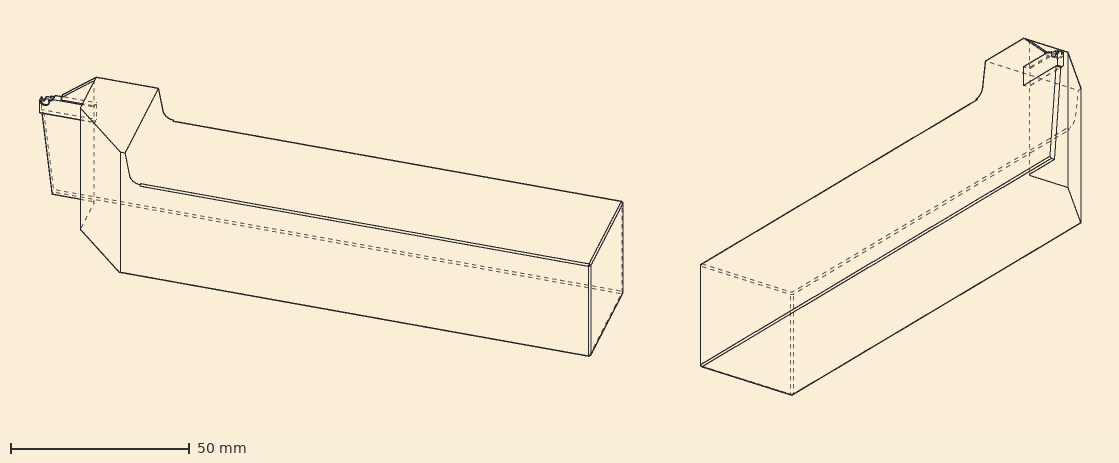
import cadquery as cq
import math

LENGTH = 170.0
WIDTH = 32.1
HEAD_HEIGHT = 42.0
SHANK_HEIGHT = 32.0
EDGE_CHAMFER = 0.5

HEAD_START = 16.0
WALL_WIDTH = 15.3
HEAD_TOP_END = 34.2
REAR_SLOPE = math.radians(10)
REAR_FILLET = 3.0

BLADE_WIDTH = 1.62
BLADE_FILLET = 0.8
BLADE_FRONT = 0.6
BLADE_BOTTOM_FRONT = 3.5
CLAMP_FRONT = 6.1
CLAMP_LIP = 0.7

INSERT_WIDTH = 2.12
INSERT_BOTTOM = 27.4
INSERT_TOP = 33.2
TIP_HEIGHT = 32.0
GROOVE_X = 0.8
GROOVE_DEPTH = 0.3
LAND_HEIGHT = 32.6
LAND_START = 1.5
LAND_END = 3.5
RAMP_LENGTH = 0.5
SCOOP_X = 1.5
SCOOP_RADIUS = 1.4
SCOOP_DEPTH = 0.5
INSERT_CHAMFER = INSERT_WIDTH - BLADE_WIDTH

REAR_FOOT = HEAD_TOP_END + (HEAD_HEIGHT - SHANK_HEIGHT) * math.tan(REAR_SLOPE)
FILLET_TANGENT = REAR_FILLET * math.tan((math.pi / 2 - REAR_SLOPE) / 2)
SHANK_START = REAR_FOOT + FILLET_TANGENT


def make_insert():
    """Narrow bar with a chip groove, two side scoops and a bevelled lower front edge."""
    bar = (
        cq.Workplane("XZ")
        .moveTo(0, INSERT_BOTTOM)
        .lineTo(HEAD_START, INSERT_BOTTOM)
        .lineTo(HEAD_START, INSERT_TOP)
        .lineTo(LAND_END + RAMP_LENGTH, INSERT_TOP)
        .lineTo(LAND_END, LAND_HEIGHT)
        .lineTo(LAND_START, LAND_HEIGHT)
        .threePointArc((GROOVE_X, TIP_HEIGHT - GROOVE_DEPTH), (0, TIP_HEIGHT))
        .close()
        .extrude(INSERT_WIDTH)
    )
    bar = bar.faces("<Y").edges("<Z").chamfer(INSERT_CHAMFER)
    for back in (0, SCOOP_DEPTH - INSERT_WIDTH):
        scoop = (
            cq.Workplane("XZ", origin=(SCOOP_X, back, TIP_HEIGHT))
            .circle(SCOOP_RADIUS)
            .extrude(SCOOP_DEPTH)
        )
        bar = bar.cut(scoop)
    return bar


def make_head():
    """Side profile crossed with the plan outline, from blade to rear fillet."""
    side = (
        cq.Workplane("XZ")
        .moveTo(BLADE_BOTTOM_FRONT, 0)
        .lineTo(SHANK_START, 0)
        .lineTo(SHANK_START, SHANK_HEIGHT)
        .threePointArc(*rear_fillet_points())
        .lineTo(HEAD_TOP_END, HEAD_HEIGHT)
        .lineTo(HEAD_START, HEAD_HEIGHT)
        .lineTo(CLAMP_FRONT, INSERT_TOP + CLAMP_LIP)
        .lineTo(CLAMP_FRONT, INSERT_TOP)
        .lineTo(BLADE_FRONT, INSERT_TOP)
        .lineTo(BLADE_FRONT, INSERT_BOTTOM)
        .close()
        .extrude(WIDTH)
    )
    bevel_end = HEAD_START + WIDTH - WALL_WIDTH
    plan = (
        cq.Workplane("XY")
        .moveTo(0, 0)
        .lineTo(0, -BLADE_WIDTH)
        .lineTo(HEAD_START - BLADE_FILLET, -BLADE_WIDTH)
        .radiusArc((HEAD_START, -BLADE_WIDTH - BLADE_FILLET), BLADE_FILLET)
        .lineTo(HEAD_START, -WALL_WIDTH)
        .lineTo(bevel_end, -WIDTH)
        .lineTo(SHANK_START, -WIDTH)
        .lineTo(SHANK_START, 0)
        .close()
        .extrude(HEAD_HEIGHT)
    )
    head = side.intersect(plan)
    for outer_face in (">Y", "<Y"):
        head = head.faces(outer_face).edges("<Z").chamfer(EDGE_CHAMFER)
    return head


def rear_fillet_points():
    """Middle and end of the arc from the shank top up to the sloping head wall."""
    center_z = SHANK_HEIGHT + REAR_FILLET
    end_angle = math.pi + REAR_SLOPE
    middle_angle = (end_angle + 3 * math.pi / 2) / 2
    return [
        (SHANK_START + REAR_FILLET * math.cos(a), center_z + REAR_FILLET * math.sin(a))
        for a in (middle_angle, end_angle)
    ]


def make_shank():
    """Rectangular bar with bevelled long edges and rear end."""
    return (
        cq.Workplane("XY", origin=(SHANK_START, -WIDTH, 0))
        .box(LENGTH - SHANK_START, WIDTH, SHANK_HEIGHT, centered=False)
        .edges("|X or >X")
        .chamfer(EDGE_CHAMFER)
    )


insert = make_insert()
seat = (
    cq.Workplane("XY", origin=(0, -INSERT_WIDTH, INSERT_BOTTOM))
    .box(HEAD_START, INSERT_WIDTH, INSERT_TOP - INSERT_BOTTOM, centered=False)
)
holder = make_head().union(make_shank()).cut(seat)

result = cq.Compound.makeCompound([holder.solids().val(), insert.solids().val()])